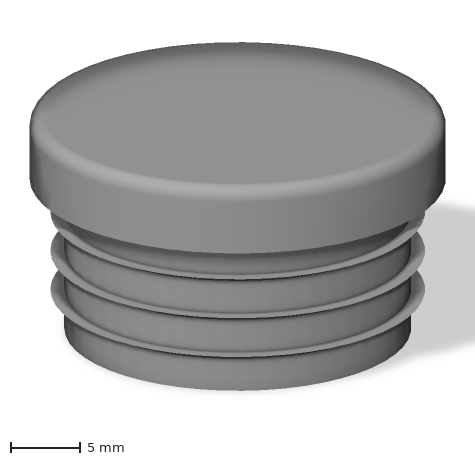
import cadquery as cq

cap_diameter = 30.0
cap_height = 5.0
cap_edge_radius = 1.0
stem_diameter = 25.0
total_height = 16.6
stem_height = total_height - cap_height

rib_diameter = 27.0
rib_height = 0.5
rib_count = 3
rib_pitch = 3.0
first_rib_top = 3.0


def make_cap():
    """Disc with a rounded top edge."""
    cap = cq.Workplane("XY").workplane(offset=stem_height).circle(cap_diameter / 2).extrude(cap_height)
    return cap.faces(">Z").edges().fillet(cap_edge_radius)


def make_stem():
    """Plain cylinder, reaching from the base to the underside of the cap."""
    return cq.Workplane("XY").circle(stem_diameter / 2).extrude(stem_height)


def make_rib(top):
    """Sealing rib: flat on top, tapering down to the stem surface."""
    profile = (
        cq.Workplane("XZ")
        .moveTo(0, top - rib_height)
        .lineTo(stem_diameter / 2, top - rib_height)
        .lineTo(rib_diameter / 2, top)
        .lineTo(0, top)
        .close()
    )
    return profile.revolve(360, (0, 0, 0), (0, 1, 0))


result = make_stem().union(make_cap())
for index in range(rib_count):
    result = result.union(make_rib(first_rib_top + index * rib_pitch))